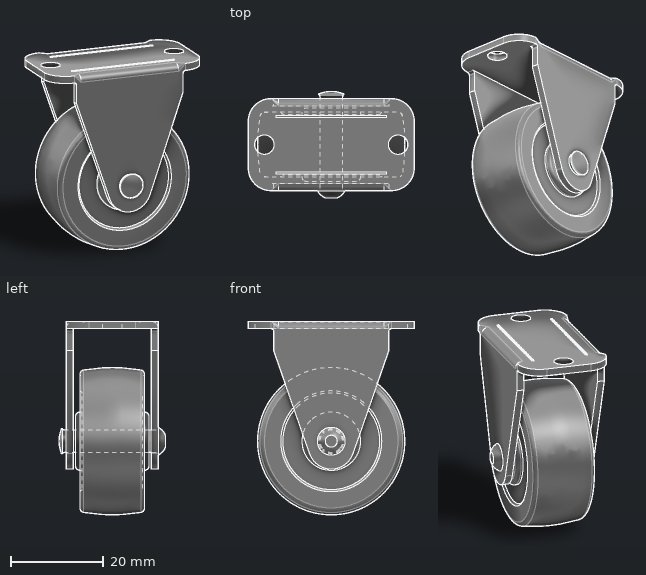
import cadquery as cq
import math


total_height = 41.95
wheel_radius = 15.98
plate_length = 36.0
plate_width = 20.0
sheet = 1.6
plate_corner_radius = 5.0

mount_hole_radius = 2.1
mount_hole_spacing = 28.95

groove_length = 24.0
groove_width = 0.4
groove_depth = 0.15
groove_spacing = 12.25

leg_half_width = 12.5
leg_taper_top = 19.62
leg_tip_radius = 5.0
leg_tip_drop = 1.05

wheel_width = 14.05
crown_drop = 0.65
tread_edge_radius = 1.0
hub_radius = 6.35
hub_width = 15.98
hub_edge_radius = 1.0
recess_mouth_radius = 10.95
recess_floor_radius = 10.5
recess_depth = 0.5

rivet_radius = 2.45
head_height = 1.55
head_radius = 3.0
head_flat_radius = 1.3
tail_height = 1.55
tail_rim_radius = 2.6
tail_rim_bulge = 0.13
tail_rim_start = 0.75
tail_rim_end = 1.05

plate_top = total_height - wheel_radius
plate_bottom = plate_top - sheet
outer_y = plate_width / 2
bend_half_length = plate_length / 2 - plate_corner_radius
bend_full_half = bend_half_length - sheet
root_radius = bend_half_length - leg_half_width


def mounting_plate():
    plate = (
        cq.Workplane("XY", origin=(0, 0, plate_bottom))
        .rect(plate_length, plate_width)
        .extrude(sheet)
        .edges("|Z")
        .fillet(plate_corner_radius)
    )
    holes = (
        cq.Workplane("XY", origin=(0, 0, plate_bottom))
        .rarray(mount_hole_spacing, 0.4, 2, 1)
        .circle(mount_hole_radius)
        .extrude(sheet)
    )
    grooves = (
        cq.Workplane("XY", origin=(0, 0, plate_top - groove_depth))
        .rarray(0.4, groove_spacing, 1, 2)
        .rect(groove_length, groove_width)
        .extrude(groove_depth)
    )
    return plate.cut(holes).cut(grooves)


def leg(side):
    """Tapered leg whose sides run tangent into the round tip; side is -1 or +1 along Y."""
    shoulder_rise = leg_taper_top + leg_tip_drop
    shoulder_distance = math.hypot(leg_half_width, shoulder_rise)
    shoulder_angle = math.atan2(shoulder_rise, leg_half_width)
    tangent_angle = shoulder_angle - math.acos(leg_tip_radius / shoulder_distance)
    tangent_x = leg_tip_radius * math.cos(tangent_angle)
    tangent_z = leg_tip_radius * math.sin(tangent_angle) - leg_tip_drop

    outside = outer_y if side > 0 else sheet - outer_y
    blank = (
        cq.Workplane("XZ", origin=(0, outside, 0))
        .moveTo(-bend_half_length, plate_bottom)
        .lineTo(bend_half_length, plate_bottom)
        .radiusArc((leg_half_width, plate_bottom - root_radius), -root_radius)
        .lineTo(leg_half_width, leg_taper_top)
        .lineTo(tangent_x, tangent_z)
        .threePointArc((0, -leg_tip_drop - leg_tip_radius), (-tangent_x, tangent_z))
        .lineTo(-leg_half_width, leg_taper_top)
        .lineTo(-leg_half_width, plate_bottom - root_radius)
        .radiusArc((-bend_half_length, plate_bottom), -root_radius)
        .close()
        .extrude(sheet)
    )
    rivet_hole = cq.Workplane("XZ", origin=(0, outside, 0)).circle(rivet_radius).extrude(sheet)
    return blank.cut(rivet_hole)


def bend_rounding(side):
    """Corner waste outside the bend radius, shrinking almost to a point at both ends."""
    end_radius = 0.01

    def section(x, radius):
        diagonal = radius * (1 - math.sqrt(0.5))
        return (
            cq.Workplane("YZ", origin=(x, side * outer_y, plate_top))
            .lineTo(-side * radius, 0)
            .threePointArc((-side * diagonal, -diagonal), (0, -radius))
            .close()
            .val()
        )

    sections = [
        section(-bend_half_length, end_radius),
        section(-bend_full_half, sheet),
        section(bend_full_half, sheet),
        section(bend_half_length, end_radius),
    ]
    return cq.Workplane(cq.Solid.makeLoft(sections, True))


def make_bracket():
    bracket = mounting_plate()
    for side in (-1, 1):
        bracket = bracket.union(leg(side)).cut(bend_rounding(side))
    return bracket


def make_wheel():
    """Crowned wheel with a conical-walled recess and a raised hub on each face."""
    face_y = wheel_width / 2
    floor_y = face_y - recess_depth
    tread_edge = wheel_radius - crown_drop
    disc = (
        cq.Workplane("XY")
        .moveTo(0, -face_y)
        .lineTo(tread_edge, -face_y)
        .threePointArc((wheel_radius, 0), (tread_edge, face_y))
        .lineTo(0, face_y)
        .close()
        .revolve(360, (0, 0, 0), (0, 1, 0))
        .faces("<Y or >Y")
        .edges()
        .fillet(tread_edge_radius)
    )
    recess = (
        cq.Workplane("XY")
        .moveTo(0, floor_y)
        .lineTo(recess_floor_radius, floor_y)
        .lineTo(recess_mouth_radius, face_y)
        .lineTo(0, face_y)
        .close()
        .revolve(360, (0, 0, 0), (0, 1, 0))
    )
    hub = (
        cq.Workplane("XZ")
        .circle(hub_radius)
        .extrude(hub_width / 2, both=True)
        .faces("<Y or >Y")
        .edges()
        .fillet(hub_edge_radius)
    )
    bore = cq.Workplane("XZ").circle(rivet_radius).extrude(hub_width / 2, both=True)
    return disc.cut(recess).cut(recess.mirror("XZ")).union(hub).cut(bore)


def make_rivet():
    """Rivet with a domed, flat-ended head at -Y and a flared, domed tail at +Y."""
    head_end = -outer_y - head_height
    tail_end = outer_y + tail_height

    centre_depth = (head_radius**2 - head_flat_radius**2 - head_height**2) / (2 * head_height)
    head_sphere = math.hypot(head_radius, centre_depth)
    head_mid_depth = head_height / 2
    head_mid_radius = math.sqrt(head_sphere**2 - (centre_depth + head_mid_depth) ** 2)

    rim_end_y = outer_y + tail_rim_end
    rim_mid_y = outer_y + (tail_rim_start + tail_rim_end) / 2

    cap_height = tail_height - tail_rim_end
    cap_sphere = (tail_rim_radius**2 + cap_height**2) / (2 * cap_height)
    cap_mid_radius = tail_rim_radius / 2
    cap_mid_y = tail_end - cap_sphere + math.sqrt(cap_sphere**2 - cap_mid_radius**2)

    return (
        cq.Workplane("XY")
        .moveTo(0, head_end)
        .lineTo(head_flat_radius, head_end)
        .threePointArc((head_mid_radius, -outer_y - head_mid_depth), (head_radius, -outer_y))
        .lineTo(rivet_radius, -outer_y)
        .lineTo(rivet_radius, outer_y)
        .tangentArcPoint((tail_rim_radius, outer_y + tail_rim_start), relative=False)
        .threePointArc((tail_rim_radius + tail_rim_bulge, rim_mid_y), (tail_rim_radius, rim_end_y))
        .threePointArc((cap_mid_radius, cap_mid_y), (0, tail_end))
        .close()
        .revolve(360, (0, 0, 0), (0, 1, 0))
    )


bracket = make_bracket()
wheel = make_wheel()
rivet = make_rivet()

result = cq.Compound.makeCompound([body.solids().val() for body in (bracket, wheel, rivet)])